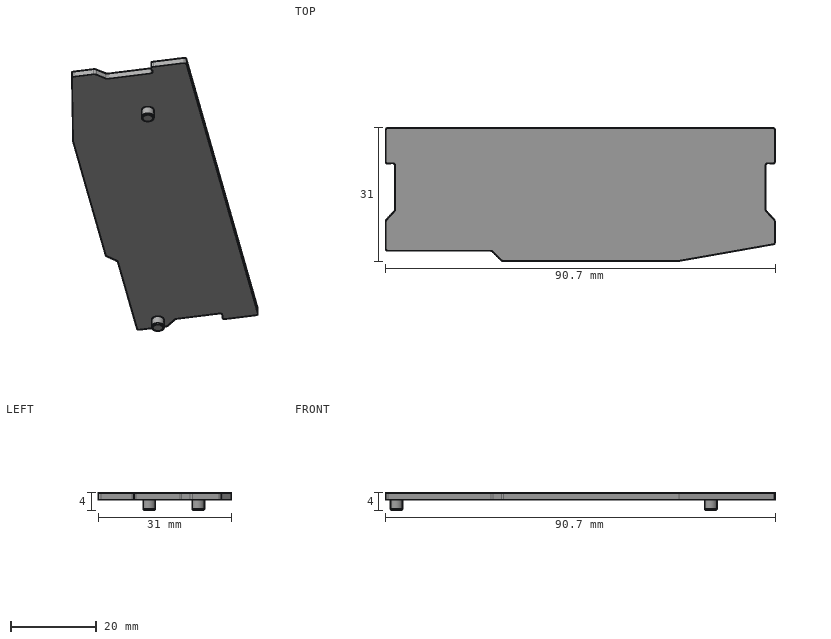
import cadquery as cq
import math

length = 90.7
width = 31.0
thickness = 1.6
total_height = 4.0

notch_depth = 2.2
lip_inner_y = -8.2
lip_outer_y = -8.4
flank_inner_y = -19.2
flank_run = 2.4
flank_outer_y = flank_inner_y - flank_run

left_front_y = -28.7
step_start_x = 24.8
step_end_x = step_start_x + width + left_front_y
taper_start_x = 68.3
taper_angle = 10.0
right_front_y = -width + (length - taper_start_x) * math.tan(math.radians(taper_angle))

corner_radius = 0.5
flank_radius = 0.9

pin_diameter = 2.9
pin_chamfer = 0.3
pin_centers = [(2.5, -23.3), (75.7, -11.9)]


def round_corners(plate, corners, radius):
    """Fillet the vertical edge at each outline corner."""
    for x, y in corners:
        nearest = cq.selectors.NearestToPointSelector((x, y, thickness / 2))
        plate = plate.edges("|Z").edges(nearest).fillet(radius)
    return plate


def make_plate():
    outline = [
        (0, 0),
        (length, 0),
        (length, lip_outer_y),
        (length - notch_depth, lip_inner_y),
        (length - notch_depth, flank_inner_y),
        (length, flank_outer_y),
        (length, right_front_y),
        (taper_start_x, -width),
        (step_end_x, -width),
        (step_start_x, left_front_y),
        (0, left_front_y),
        (0, flank_outer_y),
        (notch_depth, flank_inner_y),
        (notch_depth, lip_inner_y),
        (0, lip_outer_y),
    ]
    plate = cq.Workplane("XY").polyline(outline).close().extrude(thickness)

    flank_corners = [(0, flank_outer_y), (length, flank_outer_y)]
    unrounded_corner = (taper_start_x, -width)
    small_corners = [p for p in outline if p not in flank_corners and p != unrounded_corner]
    plate = round_corners(plate, small_corners, corner_radius)
    return round_corners(plate, flank_corners, flank_radius)


def make_pins():
    pin_length = total_height - thickness
    return (
        cq.Workplane("XY")
        .pushPoints(pin_centers)
        .circle(pin_diameter / 2)
        .extrude(-pin_length)
        .faces("<Z")
        .edges()
        .chamfer(pin_chamfer)
    )


result = make_plate().union(make_pins())